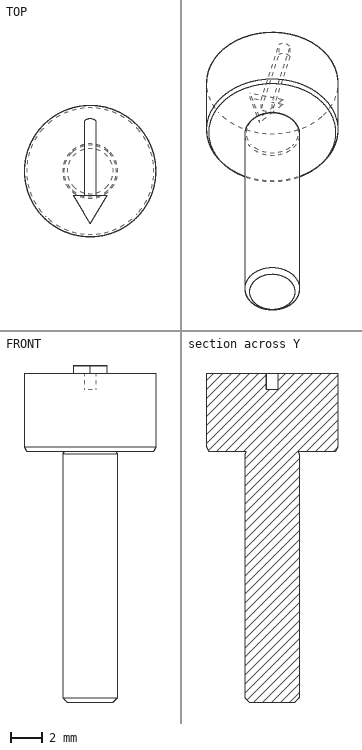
import cadquery as cq

total_height = 21.5
arrow_height = 0.5
head_height = 4.99
head_top = total_height - arrow_height
head_bottom = head_top - head_height

head_radius = 8.4 / 2
head_bevel_width = 0.15
head_bevel_height = 0.28
pin_radius = 3.5 / 2
pin_tip_chamfer = 0.3
neck_inset = 0.09
neck_height = 0.15

arrow_reach = 3.35
arrow_base_y = -1.55
arrow_half_width = 1.08
groove_half_width = 0.37
groove_end_rise = 0.15
groove_depth = 1.0


def turned_body():
    """Pin and head, revolved about Z, with a bevelled neck where they meet."""
    return (
        cq.Workplane("XZ")
        .moveTo(0, 0)
        .lineTo(pin_radius - pin_tip_chamfer, 0)
        .lineTo(pin_radius, pin_tip_chamfer)
        .lineTo(pin_radius, head_bottom - neck_height)
        .lineTo(pin_radius - neck_inset, head_bottom)
        .lineTo(head_radius - head_bevel_width, head_bottom)
        .lineTo(head_radius, head_bottom + head_bevel_height)
        .lineTo(head_radius, head_top)
        .lineTo(0, head_top)
        .close()
        .revolve(360, (0, 0, 0), (0, 1, 0))
    )


def arrow_point():
    """Raised triangle pointing toward -Y."""
    return (
        cq.Workplane("XY", origin=(0, 0, head_top))
        .moveTo(-arrow_half_width, arrow_base_y)
        .lineTo(0, -arrow_reach)
        .lineTo(arrow_half_width, arrow_base_y)
        .close()
        .extrude(arrow_height)
    )


def arrow_groove():
    """Recessed arrow shaft with a shallow round tail."""
    tail_corner_y = arrow_reach - groove_end_rise
    return (
        cq.Workplane("XY", origin=(0, 0, head_top))
        .moveTo(-groove_half_width, arrow_base_y)
        .lineTo(groove_half_width, arrow_base_y)
        .lineTo(groove_half_width, tail_corner_y)
        .threePointArc((0, arrow_reach), (-groove_half_width, tail_corner_y))
        .close()
        .extrude(-groove_depth)
    )


result = turned_body().cut(arrow_groove()).union(arrow_point())